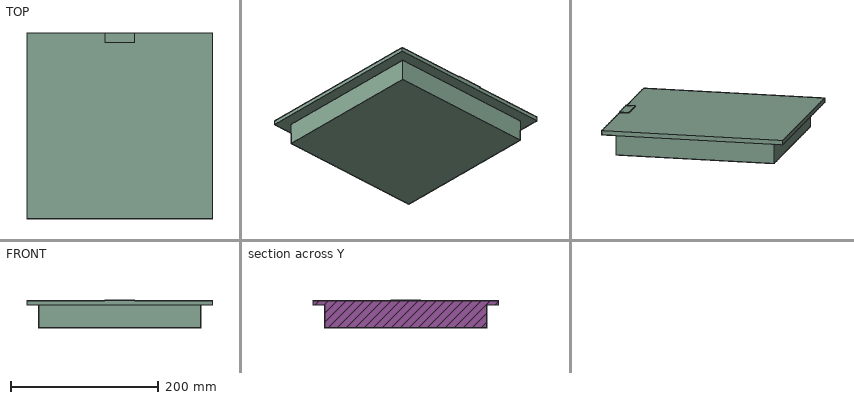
import cadquery as cq

plate_side = 252.0
plate_thickness = 6.0

body_side = 220.0
body_height = 31.0

tab_width = 40.0
tab_depth = 13.0
tab_height = 1.0


def block(width, depth, height, bottom):
    """Box centred on the Z axis, standing on the given level."""
    return cq.Workplane("XY").workplane(offset=bottom).box(
        width, depth, height, centered=(True, True, False)
    )


plate_top = body_height + plate_thickness
tab_center_y = (plate_side - tab_depth) / 2

body = block(body_side, body_side, body_height, 0)
plate = block(plate_side, plate_side, plate_thickness, body_height)
tab = block(tab_width, tab_depth, tab_height, plate_top).translate((0, tab_center_y, 0))

result = body.union(plate).union(tab)